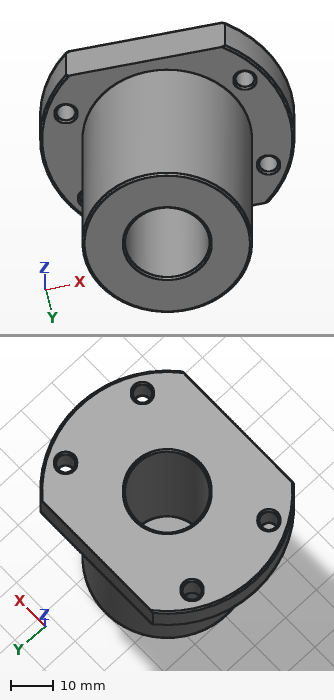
import cadquery as cq

flange_diameter = 60.0
flange_width = 46.0
flange_thickness = 10.0
total_height = 53.0
body_diameter = 40.0
bore_diameter = 20.0
bolt_circle_diameter = 50.0
bolt_angle = 30.0
bolt_hole_diameter = 4.5
edge_chamfer = 0.5

body_height = total_height - flange_thickness


def make_flange():
    """Round flange with chamfered rims, then cut to two parallel flats."""
    disc = (
        cq.Workplane("XY")
        .workplane(offset=body_height)
        .circle(flange_diameter / 2)
        .extrude(flange_thickness)
        .edges()
        .chamfer(edge_chamfer)
    )
    between_flats = cq.Workplane("XY").box(
        flange_diameter, flange_width, total_height, centered=(True, True, False)
    )
    return disc.intersect(between_flats)


def make_body():
    """Cylindrical sleeve below the flange, chamfered at its lower end."""
    return (
        cq.Workplane("XY")
        .circle(body_diameter / 2)
        .extrude(body_height)
        .faces("<Z")
        .chamfer(edge_chamfer)
    )


def make_hole_cutter(diameter, bottom, top):
    """Plain hole from bottom to top, with a chamfered mouth at each end."""
    radius = diameter / 2
    mouth_radius = radius + edge_chamfer
    return (
        cq.Workplane("XZ")
        .moveTo(0, bottom)
        .lineTo(mouth_radius, bottom)
        .lineTo(radius, bottom + edge_chamfer)
        .lineTo(radius, top - edge_chamfer)
        .lineTo(mouth_radius, top)
        .lineTo(0, top)
        .close()
        .revolve(360, (0, 0), (0, 1))
    )


result = make_flange().union(make_body())

result = result.cut(make_hole_cutter(bore_diameter, 0, total_height))

bolt_hole = make_hole_cutter(bolt_hole_diameter, body_height, total_height).translate(
    (bolt_circle_diameter / 2, 0, 0)
)
for angle in (bolt_angle, 180 - bolt_angle, 180 + bolt_angle, 360 - bolt_angle):
    result = result.cut(bolt_hole.rotate((0, 0, 0), (0, 0, 1), angle))